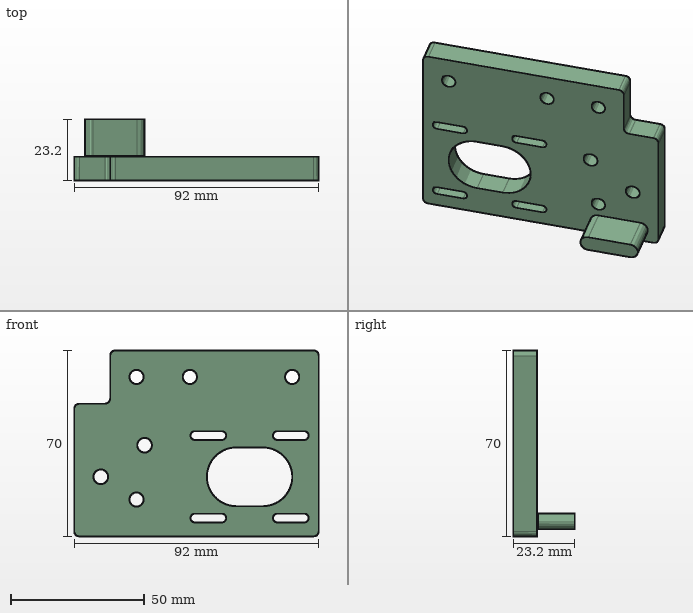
import cadquery as cq

plate_length = 92.0
plate_height = 70.0
plate_thickness = 9.0
corner_radius = 2.0

step_width = 13.5
step_bottom = 50.0

small_hole_diameter = 5.2
upper_hole_height = 60.0
left_hole_x = 23.5
small_holes = [
    (left_hole_x, upper_hole_height),
    (43.5, upper_hole_height),
    (82.0, upper_hole_height),
    (left_hole_x, 13.9),
]
large_hole_diameter = 5.4
motor_center_height = 22.45
large_holes = [(26.5, 34.3), (10.0, motor_center_height)]

motor_center_x = 66.0
opening_length = 32.0
opening_height = 22.0
slot_spacing = 31.0
slot_length = 13.3
slot_height = 3.2

bar_gap = 0.3
bar_depth = 13.9
bar_length = 22.45
bar_height = 6.1
bar_left = 4.05
bar_bottom = 2.7


def xz_plane(y):
    """Plane at the given y, with local axes X and Z; a negative extrusion runs toward +Y."""
    return cq.Workplane("XZ", origin=(0, y, 0))


def plate_blank():
    """Slab with a stepped upper left corner, every outline corner rounded."""
    outline = [
        (0, 0),
        (plate_length, 0),
        (plate_length, plate_height),
        (step_width, plate_height),
        (step_width, step_bottom),
        (0, step_bottom),
    ]
    return xz_plane(0).polyline(outline).close().extrude(-plate_thickness).edges("|Y").fillet(corner_radius)


def round_holes(centers, diameter):
    """Cylinders that cut straight through the plate."""
    return xz_plane(0).pushPoints(centers).circle(diameter / 2).extrude(-plate_thickness)


def motor_cutters():
    """Central rounded opening and the four slots around it, cut straight through."""
    motor_plane = xz_plane(0).center(motor_center_x, motor_center_height)
    opening = motor_plane.slot2D(opening_length, opening_height).extrude(-plate_thickness)
    slots = (
        motor_plane.rarray(slot_spacing, slot_spacing, 2, 2)
        .slot2D(slot_length, slot_height)
        .extrude(-plate_thickness)
    )
    return opening.add(slots).combine()


def make_plate():
    plate = plate_blank()
    plate = plate.cut(round_holes(small_holes, small_hole_diameter))
    plate = plate.cut(round_holes(large_holes, large_hole_diameter))
    return plate.cut(motor_cutters())


def make_spacer_bar():
    """Bar with fully rounded ends, set behind the plate."""
    return (
        xz_plane(plate_thickness + bar_gap)
        .center(bar_left + bar_length / 2, bar_bottom + bar_height / 2)
        .slot2D(bar_length, bar_height)
        .extrude(-bar_depth)
    )


plate = make_plate()
spacer_bar = make_spacer_bar()
result = cq.Compound.makeCompound([plate.val(), spacer_bar.val()])